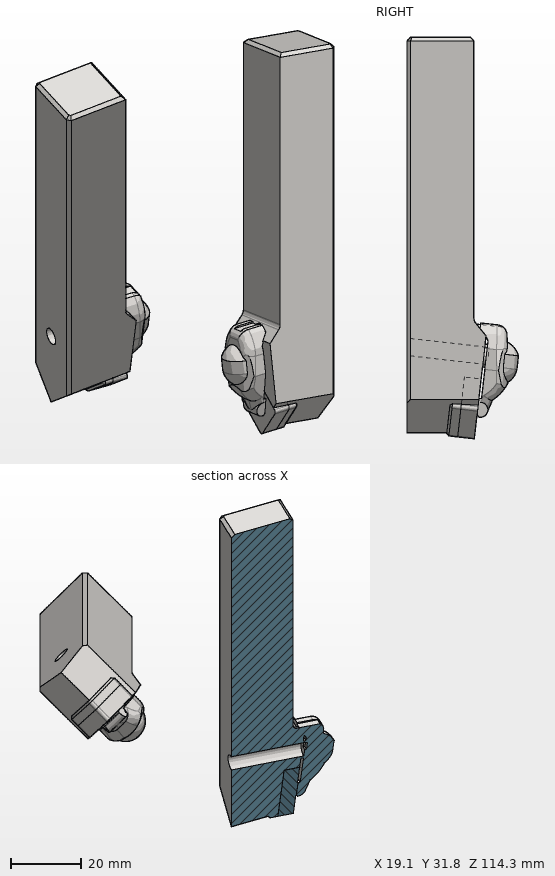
import cadquery as cq
import math

shank_size = 19.1
top_z = 114.3
edge_chamfer = 1.0
half_width = shank_size / 2
nose_z = 1.7

tilt = 6.5
tip_y = 19.2
head_top = 29.5
slope_angle = 39.0
slope_blend = 2.3

insert_side = 12.7
insert_corner = 0.9
insert_thickness = 4.8
shim_thickness = 3.2
shim_chamfer = 0.7

clamp_half_width = 6.6
clamp_wide_start = 20.0
clamp_wide_end = 25.1
clamp_nose = 6.3
clamp_nose_half_width = 2.9
clamp_rear = 33.0
clamp_rear_half_width = 3.2
clamp_rear_bulge = (5.7, 29.7)
clamp_gap = 0.7
nose_pad_start = 6.9
nose_pad_end = 11.7
heel_start = 28.1
heel_bite = 0.2
heel_depth = 2.0
heel_pin_diameter = 3.0
heel_pin_depth = 4.0
heel_pin_inset = 2.0
clamp_rim_radius = 3.1
rim_lowest = 1.1
rim_tolerance = 0.1
upright_limit = 0.97
clamp_shoulder = 4.6
clamp_crown = 7.7
clamp_rear_height = 5.6
crown_end = 16.8
brow_middle = (6.3, 14.2)
brow_end = (3.9, 11.5)
nose_top = (2.9, 8.1)
nose_middle = (1.7, 6.5)
nose_edge_height = 0.6
rear_groove_width = 3.3
rear_groove_depth = 0.5

dome_axis_height = 4.3
dome_radius = 5.5
dome_start = 15.9
dome_end = 28.9
dome_shoulder = 0.75
dome_shoulder_inset = 2.0
dome_flat_start = 21.0
dome_flat_end = 24.9

hole_diameter = 4.9
hole_u = 23.9
collar_diameter = 6.6
collar_overlap = 0.6
slot_width = 2.1
slot_length = 2.3
slot_depth = 0.6
slot_rise = 1.1


def lean(shape):
    """Move a shape from the upright (x, v, u) frame onto the leaning insert face."""
    return shape.rotate((0, 0, 0), (1, 0, 0), -tilt).translate((0, tip_y, 0))


def on_face(u):
    """Point (y, z) that lies u along the leaning face from the tip."""
    angle = math.radians(tilt)
    return (tip_y + u * math.sin(angle), u * math.cos(angle))


def square_plate(front, thickness):
    """Plate standing on a rounded corner at u = 0, its front face at v = front."""
    corner_loss = insert_corner * (math.sqrt(2) - 1)
    centre_u = insert_side / math.sqrt(2) - corner_loss
    return (
        cq.Workplane("XY")
        .rect(insert_side, insert_side)
        .extrude(thickness)
        .edges("|Z").fillet(insert_corner)
        .rotate((0, 0, 0), (0, 0, 1), 45)
        .rotate((0, 0, 0), (1, 0, 0), 90)
        .translate((0, front, centre_u))
    )


def holder_bar():
    """Chamfered shank and leaning head, cut to a V at the lower end."""
    head_y, head_z = on_face(head_top)
    slope_top_z = head_z + (head_y - shank_size) / math.tan(math.radians(slope_angle))
    bar = (
        cq.Workplane("YZ")
        .moveTo(0, 0)
        .lineTo(tip_y, 0)
        .lineTo(head_y, head_z)
        .lineTo(shank_size, slope_top_z)
        .lineTo(shank_size, top_z)
        .lineTo(0, top_z)
        .close()
        .extrude(half_width, both=True)
    )
    blend_point = (0, shank_size, slope_top_z)
    bar = bar.edges(cq.selectors.NearestToPointSelector(blend_point)).fillet(slope_blend)
    bar = bar.faces("<Y").edges("|Z").chamfer(edge_chamfer)
    bar = bar.faces(">Z").edges().chamfer(edge_chamfer)
    front_outline = (
        cq.Workplane("XZ")
        .moveTo(0, nose_z)
        .lineTo(half_width, nose_z + half_width)
        .lineTo(half_width, top_z)
        .lineTo(-half_width, top_z)
        .lineTo(-half_width, nose_z + half_width)
        .close()
        .extrude(-2 * shank_size)
    )
    return bar.intersect(front_outline)


def square_to_face(diameter, u, start_v, end_v):
    """Cylinder standing square to the leaning face at u, between two heights off it."""
    cylinder = (
        cq.Workplane("XZ", origin=(0, start_v, 0))
        .center(0, u)
        .circle(diameter / 2)
        .extrude(start_v - end_v)
    )
    return lean(cylinder)


def is_rim_edge(edge):
    """True for the upper edges where the side walls and rear meet the back of the clamp."""
    box = edge.BoundingBox()
    runs_across = box.xmax > 0 and box.xmin < 0
    on_rear = box.zmin > clamp_rear - rim_tolerance
    upright = abs(edge.tangentAt(0.5).y) > upright_limit
    return box.ymin > rim_lowest and not upright and (on_rear or not runs_across)


def clamp_body():
    """Plan outline, side profile and arched cross-section intersected."""
    bulge_x, bulge_u = clamp_rear_bulge
    plan = (
        cq.Workplane("XZ", origin=(0, -heel_depth, 0))
        .moveTo(-clamp_nose_half_width, clamp_nose)
        .lineTo(clamp_nose_half_width, clamp_nose)
        .lineTo(clamp_half_width, clamp_wide_start)
        .lineTo(clamp_half_width, clamp_wide_end)
        .threePointArc((bulge_x, bulge_u), (clamp_rear_half_width, clamp_rear))
        .lineTo(-clamp_rear_half_width, clamp_rear)
        .threePointArc((-bulge_x, bulge_u), (-clamp_half_width, clamp_wide_end))
        .lineTo(-clamp_half_width, clamp_wide_start)
        .close()
        .extrude(-(clamp_crown + heel_depth))
    )
    profile = (
        cq.Workplane("YZ")
        .moveTo(0, nose_pad_start)
        .lineTo(0, nose_pad_end)
        .lineTo(clamp_gap, nose_pad_end)
        .lineTo(clamp_gap, heel_start)
        .lineTo(0, head_top - heel_bite)
        .lineTo(-heel_depth, head_top + heel_depth - heel_bite)
        .lineTo(-heel_depth, clamp_rear)
        .lineTo(clamp_rear_height, clamp_rear)
        .lineTo(clamp_crown, crown_end)
        .threePointArc(brow_middle, brow_end)
        .lineTo(*nose_top)
        .threePointArc(nose_middle, (nose_edge_height, clamp_nose))
        .close()
        .extrude(clamp_half_width, both=True)
    )
    arch = (
        cq.Workplane("XY")
        .moveTo(-clamp_half_width, -heel_depth)
        .lineTo(clamp_half_width, -heel_depth)
        .lineTo(clamp_half_width, clamp_shoulder)
        .threePointArc((0, clamp_crown), (-clamp_half_width, clamp_shoulder))
        .close()
        .extrude(clamp_rear)
    )
    block = plan.intersect(profile)
    rim = block.edges().filter(is_rim_edge)
    return rim.fillet(clamp_rim_radius).intersect(arch)


def dome():
    """Half-round hump with rounded ends, standing above its own axis."""
    r = dome_radius
    hump = (
        cq.Workplane("YZ")
        .moveTo(0, dome_start)
        .threePointArc((dome_shoulder * r, dome_start + dome_shoulder_inset), (r, dome_flat_start))
        .lineTo(r, dome_flat_end)
        .threePointArc((dome_shoulder * r, dome_end - dome_shoulder_inset), (0, dome_end))
        .close()
        .revolve(360, (0, 0, 0), (0, 1, 0))
        .translate((0, dome_axis_height, 0))
    )
    upper_half = (
        cq.Workplane("XY", origin=(0, dome_axis_height, 0))
        .box(2 * r, r, dome_end, centered=(True, False, False))
    )
    return hump.intersect(upper_half)


def clamp():
    """Clamp body and dome with a shallow groove up the rear wall."""
    body = clamp_body().union(dome())
    groove = (
        cq.Workplane("XY")
        .box(rear_groove_width, 4 * clamp_crown, 2 * rear_groove_depth)
        .translate((0, 0, clamp_rear))
    )
    return lean(body.cut(groove))


insert = lean(square_plate(0, insert_thickness))

shim = lean(square_plate(-insert_thickness, shim_thickness).faces("<Y").chamfer(shim_chamfer))
collar = square_to_face(collar_diameter, hole_u, -collar_overlap, clamp_gap + collar_overlap)
heel_pin = square_to_face(heel_pin_diameter, clamp_rear - heel_pin_inset, -heel_pin_depth, -heel_depth)
hole = square_to_face(hole_diameter, hole_u, -2 * shank_size, clamp_gap)
hole_end_slot = lean(
    cq.Workplane("XY")
    .box(slot_width, 2 * slot_depth, slot_length)
    .translate((0, clamp_gap, hole_u + slot_rise))
)

holder = holder_bar().union(shim).cut(insert)
holder = holder.union(collar).union(clamp()).union(heel_pin)
holder = holder.cut(hole).cut(hole_end_slot).cut(insert)

result = cq.Compound.makeCompound([holder.val(), insert.val()])